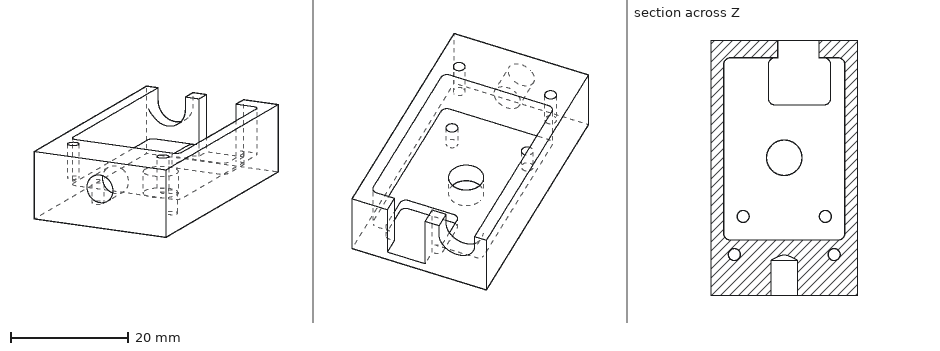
import cadquery as cq
import math

WIDTH = 25.0
LENGTH = 43.5
HEIGHT = 12.0

CORNER_RADIUS = 1.1
POCKET_WIDTH = 20.6
POCKET_FLOOR = 3.8
BACK_WALL = 3.0
POCKET_BACK = LENGTH - BACK_WALL
POCKET_FRONT = 9.5

RECESS_FLOOR = 1.8
RECESS_WIDTH = 10.6
RECESS_LENGTH = 8.0
RECESS_CENTER_X = 2.6
SLOT_WIDTH = 7.0
SLOT_CENTER_X = 2.4

CHANNEL_WIDTH = 6.6
CHANNEL_RADIUS = CHANNEL_WIDTH / 2
CHANNEL_CENTER_X = -POCKET_WIDTH / 2 + CHANNEL_RADIUS
CHANNEL_CENTER_Z = 9.7

CENTER_HOLE_DIAMETER = 6.0
CENTER_HOLE_Y = 23.5
SMALL_HOLE_DIAMETER = 2.01
FLOOR_HOLE_X = 7.0
FLOOR_HOLE_Y = 13.5
TOP_HOLE_X = 8.5
TOP_HOLE_Y = 7.0
TOP_HOLE_DEPTH = 6.0
FRONT_HOLE_DIAMETER = 4.92
FRONT_HOLE_Z = 7.0
FRONT_HOLE_DEPTH = 6.0
DRILL_POINT_ANGLE = 118.0


def box_between(x_center, width, y_front, y_back, z_floor):
    """Cutting block from z_floor up to the top of the body."""
    return (
        cq.Workplane("XY")
        .box(width, y_back - y_front, HEIGHT - z_floor, centered=(True, False, False))
        .translate((x_center, y_front, z_floor))
    )


def drilled_hole(diameter, depth):
    """Drill shape along Z: mouth at the origin, conical tip below the full-diameter depth."""
    radius = diameter / 2
    tip_length = radius / math.tan(math.radians(DRILL_POINT_ANGLE / 2))
    return (
        cq.Workplane("XZ")
        .polyline([(0, 0), (radius, 0), (radius, -depth), (0, -depth - tip_length)])
        .close()
        .revolve(360, (0, 0), (0, 1))
    )


def through_hole(x, y, diameter):
    return cq.Workplane("XY").center(x, y).circle(diameter / 2).extrude(HEIGHT)


def main_pocket():
    pocket = box_between(0, POCKET_WIDTH, POCKET_FRONT, POCKET_BACK, POCKET_FLOOR)
    return pocket.edges("|Z").fillet(CORNER_RADIUS)


def recess():
    block = box_between(
        RECESS_CENTER_X, RECESS_WIDTH, POCKET_BACK - RECESS_LENGTH, POCKET_BACK, RECESS_FLOOR
    )
    return block.edges("|Z").fillet(CORNER_RADIUS)


def back_slot():
    return box_between(SLOT_CENTER_X, SLOT_WIDTH, POCKET_BACK - CORNER_RADIUS, LENGTH, RECESS_FLOOR)


def back_channel():
    channel_front = POCKET_BACK - CORNER_RADIUS
    upper = box_between(CHANNEL_CENTER_X, CHANNEL_WIDTH, channel_front, LENGTH, CHANNEL_CENTER_Z)
    round_bottom = (
        cq.Workplane("XZ", origin=(CHANNEL_CENTER_X, LENGTH, CHANNEL_CENTER_Z))
        .circle(CHANNEL_RADIUS)
        .extrude(LENGTH - channel_front)
    )
    return upper.union(round_bottom)


def front_hole():
    drill = drilled_hole(FRONT_HOLE_DIAMETER, FRONT_HOLE_DEPTH)
    return drill.rotate((0, 0, 0), (1, 0, 0), 90).translate((0, 0, FRONT_HOLE_Z))


body = cq.Workplane("XY").box(WIDTH, LENGTH, HEIGHT, centered=(True, False, False))
body = body.cut(main_pocket())
body = body.cut(recess())
body = body.cut(back_slot())
body = body.cut(back_channel())
body = body.cut(front_hole())
body = body.cut(through_hole(0, CENTER_HOLE_Y, CENTER_HOLE_DIAMETER))
for side in (-1, 1):
    body = body.cut(through_hole(side * FLOOR_HOLE_X, FLOOR_HOLE_Y, SMALL_HOLE_DIAMETER))
    top_hole = drilled_hole(SMALL_HOLE_DIAMETER, TOP_HOLE_DEPTH)
    body = body.cut(top_hole.translate((side * TOP_HOLE_X, TOP_HOLE_Y, HEIGHT)))

result = body